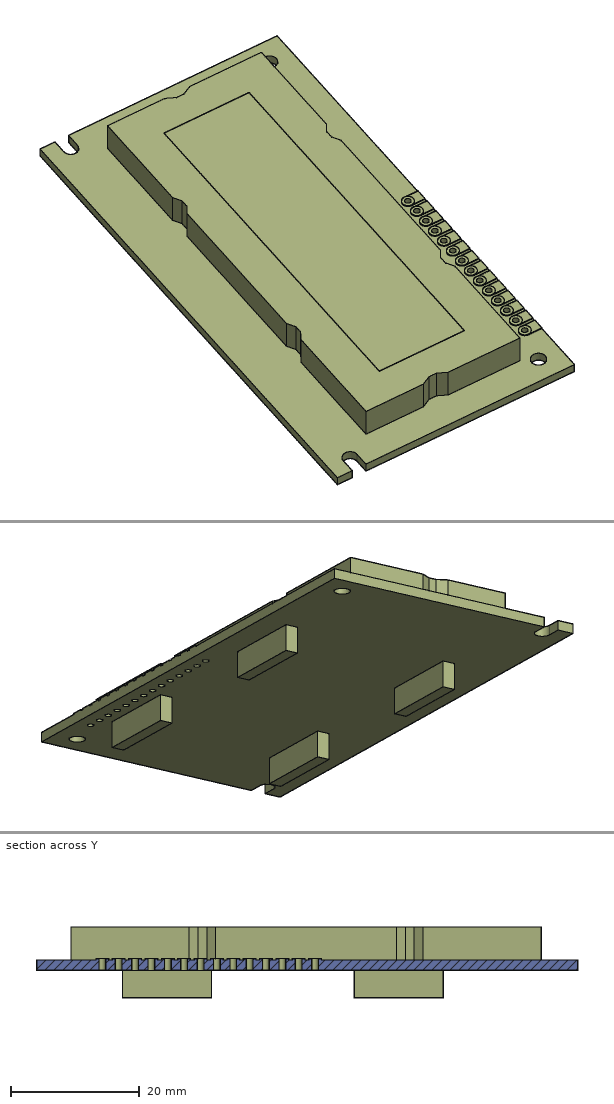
import cadquery as cq

BOARD_LENGTH = 84.0
BOARD_WIDTH = 44.0
BOARD_THICKNESS = 1.6
BOARD_BACK_Y = BOARD_WIDTH / 2

MOUNT_DIAMETER = 2.5
MOUNT_INSET = 4.0
MOUNT_X = BOARD_LENGTH / 2 - MOUNT_INSET
MOUNT_Y = BOARD_WIDTH / 2 - MOUNT_INSET
SLOT_DEPTH = 3.8

FRAME_LENGTH = 73.0
FRAME_WIDTH = 28.6
FRAME_HEIGHT = 5.1
FRAME_X = 0.2
FRAME_Y = 1.1

WINDOW_LENGTH = 60.8
WINDOW_WIDTH = 15.8
WINDOW_DEPTH = 0.1
WINDOW_Y = 1.2

NOTCH_DEPTH = 0.8
NOTCH_FLOOR = 1.35
LONG_SIDE_NOTCH_MOUTH = 4.1
LONG_SIDE_NOTCH_SPACING = 32.2
SHORT_SIDE_NOTCH_MOUTH = 4.6
SHORT_SIDE_NOTCH_Y = -0.25

PAD_COUNT = 14
PAD_ROW_LENGTH = 33.0
PAD_PITCH = PAD_ROW_LENGTH / (PAD_COUNT - 1)
PAD_DIAMETER = 2.0
STRIP_HEIGHT = 0.2
DISC_HEIGHT = 0.21
PAD_HOLE_DIAMETER = 1.0
PAD_ROW_X = 15.3
PAD_INSET = 2.5
PAD_Y = BOARD_BACK_Y - PAD_INSET

BLOCK_LENGTH = 13.9
BLOCK_WIDTH = 2.1
BLOCK_HEIGHT = 4.3
BLOCK_X_POSITIONS = (-14.2, 21.75)
BLOCK_Y_POSITIONS = (-12.5, 16.5)


def box_on(z, length, width, height, x=0.0, y=0.0):
    """Box centred on (x, y) with its underside at z."""
    return cq.Workplane("XY", origin=(x, y, z)).box(length, width, height, centered=(True, True, False))


def make_board():
    board = box_on(0, BOARD_LENGTH, BOARD_WIDTH, BOARD_THICKNESS)
    for side in (-1, 1):
        hole = (
            cq.Workplane("XY")
            .center(side * MOUNT_X, MOUNT_Y)
            .circle(MOUNT_DIAMETER / 2)
            .extrude(BOARD_THICKNESS)
        )
        slot = (
            cq.Workplane("XY")
            .center(side * BOARD_LENGTH / 2, -MOUNT_Y)
            .slot2D(2 * SLOT_DEPTH, MOUNT_DIAMETER)
            .extrude(BOARD_THICKNESS)
        )
        board = board.cut(hole).cut(slot)
    return board


def make_notch(mouth, x, y, angle):
    """Tapered notch with its mouth centred on (x, y), cutting toward +Y before rotation."""
    return (
        cq.Workplane("XY")
        .polyline([
            (-mouth / 2, 0),
            (mouth / 2, 0),
            (NOTCH_FLOOR / 2, NOTCH_DEPTH),
            (-NOTCH_FLOOR / 2, NOTCH_DEPTH),
        ])
        .close()
        .extrude(FRAME_HEIGHT)
        .rotate((0, 0, 0), (0, 0, 1), angle)
        .translate((x, y, BOARD_THICKNESS))
    )


def make_frame():
    frame = box_on(BOARD_THICKNESS, FRAME_LENGTH, FRAME_WIDTH, FRAME_HEIGHT, FRAME_X, FRAME_Y)
    for side in (-1, 1):
        notch_x = FRAME_X + side * LONG_SIDE_NOTCH_SPACING / 2
        front_notch = make_notch(LONG_SIDE_NOTCH_MOUTH, notch_x, FRAME_Y - FRAME_WIDTH / 2, 0)
        back_notch = make_notch(LONG_SIDE_NOTCH_MOUTH, notch_x, FRAME_Y + FRAME_WIDTH / 2, 180)
        end_x = FRAME_X + side * FRAME_LENGTH / 2
        end_notch = make_notch(SHORT_SIDE_NOTCH_MOUTH, end_x, SHORT_SIDE_NOTCH_Y, side * 90)
        frame = frame.cut(front_notch).cut(back_notch).cut(end_notch)
    window_floor = BOARD_THICKNESS + FRAME_HEIGHT - WINDOW_DEPTH
    return frame.cut(box_on(window_floor, WINDOW_LENGTH, WINDOW_WIDTH, WINDOW_DEPTH, FRAME_X, WINDOW_Y))


def add_pads(body):
    """Add pads made of a drilled disc, standing slightly proud of a strip to the back edge."""
    for index in range(PAD_COUNT):
        x = PAD_ROW_X - PAD_ROW_LENGTH / 2 + index * PAD_PITCH
        strip = box_on(BOARD_THICKNESS, PAD_DIAMETER, PAD_INSET, STRIP_HEIGHT, x, PAD_Y + PAD_INSET / 2)
        pad_center = cq.Workplane("XY").center(x, PAD_Y)
        disc = pad_center.circle(PAD_DIAMETER / 2).extrude(BOARD_THICKNESS + DISC_HEIGHT)
        hole = pad_center.circle(PAD_HOLE_DIAMETER / 2).extrude(BOARD_THICKNESS + DISC_HEIGHT)
        body = body.union(strip).union(disc).cut(hole)
    return body


def add_blocks(body):
    for x in BLOCK_X_POSITIONS:
        for y in BLOCK_Y_POSITIONS:
            body = body.union(box_on(-BLOCK_HEIGHT, BLOCK_LENGTH, BLOCK_WIDTH, BLOCK_HEIGHT, x, y))
    return body


result = add_blocks(add_pads(make_board().union(make_frame())))